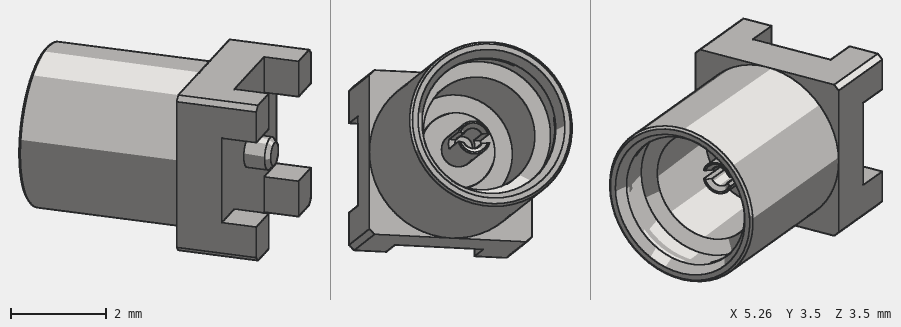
import cadquery as cq

width = 3.5
barrel_radius = width / 2
barrel_length = 3.5
flange_thickness = 1.0
leg_length = 0.76
slot_width = 1.9
corner_chamfer = 0.11
rim_chamfer = 0.05
flange_back = barrel_length + flange_thickness
overall_length = flange_back + leg_length

mouth_radius = 1.58
land_radius = 1.44
groove_radius = 1.5
bore_radius = 1.2
land_start = 0.22
land_end = 0.32
groove_start = 0.53
groove_end = 0.91
shoulder_end = 1.06
bore_depth = 3.0

insulator_radius = 0.8
insulator_height = 0.1

contact_radius = 0.35
contact_front = 1.5
pin_end_gap = 0.2
pin_chamfer = 0.1
socket_radius = 0.215
socket_mouth_radius = 0.31
socket_depth = 1.0
socket_tip_depth = 0.12
contact_slot_width = 0.2
contact_slot_depth = 0.8


def revolve_about_x(profile):
    """Turn a closed list of (x, radius) points into a solid around the X axis."""
    return cq.Workplane("XY").polyline(profile).close().revolve(360, (0, 0, 0), (1, 0, 0))


def x_box(start, length, size_y, size_z):
    """Box centred on the X axis, running from start over the given length."""
    box = cq.Workplane("XY").box(length, size_y, size_z, centered=(False, True, True))
    return box.translate((start, 0, 0))


def make_body():
    """Round barrel joined to a square flange with four corner legs."""
    barrel = cq.Workplane("YZ").circle(barrel_radius).extrude(barrel_length)
    barrel = barrel.faces("<X").chamfer(rim_chamfer)
    flange = x_box(barrel_length, flange_thickness + leg_length, width, width)
    flange = flange.edges("|X").chamfer(corner_chamfer)
    for size_y, size_z in ((width, slot_width), (slot_width, width)):
        flange = flange.cut(x_box(flange_back, leg_length, size_y, size_z))
    return barrel.union(flange)


def make_bore():
    """Volume removed by the stepped bore, from the mouth to its flat floor."""
    return revolve_about_x([
        (0, 0),
        (0, mouth_radius),
        (land_start, land_radius),
        (land_end, land_radius),
        (groove_start, groove_radius),
        (groove_end, groove_radius),
        (shoulder_end, bore_radius),
        (bore_depth, bore_radius),
        (bore_depth, 0),
    ])


def make_insulator():
    """Low round boss on the bore floor, around the contact."""
    boss = cq.Workplane("YZ").circle(insulator_radius).extrude(insulator_height)
    return boss.translate((bore_depth - insulator_height, 0, 0))


def make_contact():
    """Contact running through the flange, with a countersunk, slotted socket."""
    length = overall_length - pin_end_gap - contact_front
    contact = cq.Workplane("YZ").circle(contact_radius).extrude(length)
    contact = contact.faces(">X").chamfer(pin_chamfer).translate((contact_front, 0, 0))

    countersink_depth = socket_mouth_radius - socket_radius
    socket = revolve_about_x([
        (contact_front, 0),
        (contact_front, socket_mouth_radius),
        (contact_front + countersink_depth, socket_radius),
        (contact_front + socket_depth, socket_radius),
        (contact_front + socket_depth + socket_tip_depth, 0),
    ])
    slot = x_box(contact_front, contact_slot_depth, 2 * contact_radius, contact_slot_width)
    return contact.cut(socket).cut(slot)


result = make_body().cut(make_bore()).union(make_insulator()).union(make_contact())